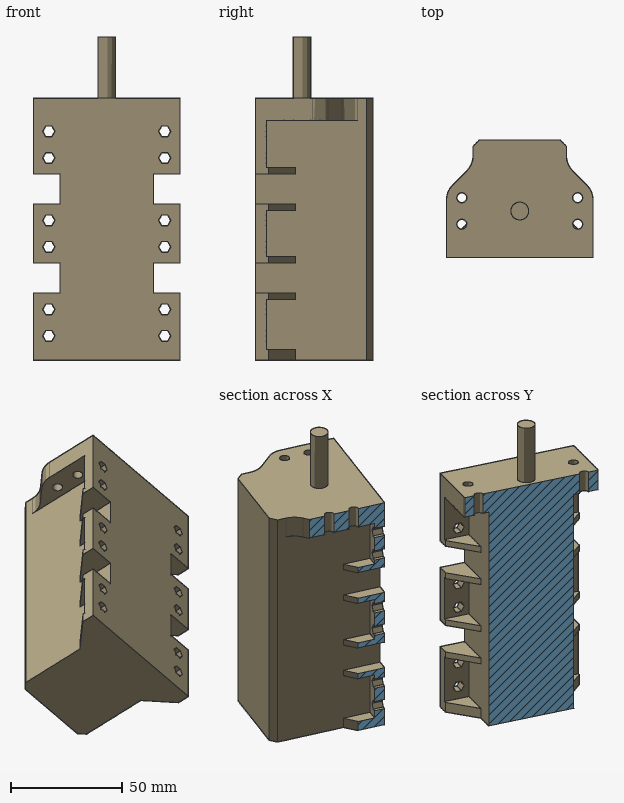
import cadquery as cq

total_height = 145.5
body_height = 118.0
body_width = 42.0
depth = 53.0
back_chamfer = 2.9

flange_width = 66.0
flange_thickness = 5.0
notch_height = 13.4
notch_bottom = 30.4
pitch = 40.0
notch_count = 2

gusset_thickness = 2.9
bottom_gusset_thickness = 5.0
gusset_edge = 6.0

plate_thickness = 10.0
shoulder_depth = 29.8
shoulder_radius = 9.9

hex_hole_corners = 5.4
plate_hole_diameter = 4.4
hole_offset = 26.0
hole_spacing = 12.0
lowest_hole = 11.0
first_plate_hole = 15.0

shaft_diameter = 8.0
shaft_depth = 21.0

body_side = body_width / 2
flange_side = flange_width / 2
overhang = flange_side - body_side
plate_bottom = body_height - plate_thickness
notch_bottoms = [notch_bottom + i * pitch for i in range(notch_count)]


def block(width, length, bottom, height):
    """Box centred on X that starts at the mounting face."""
    return cq.Workplane("XY", origin=(0, length / 2, bottom)).box(
        width, length, height, centered=(True, True, False)
    )


def make_gussets(bottom, thickness):
    """Pair of gussets, one on each side, tapering towards the back."""
    outline = [
        (-flange_side, 0),
        (flange_side, 0),
        (flange_side, gusset_edge),
        (body_side, gusset_edge + overhang),
        (-body_side, gusset_edge + overhang),
        (-flange_side, gusset_edge),
    ]
    return cq.Workplane("XY", origin=(0, 0, bottom)).polyline(outline).close().extrude(thickness)


def make_flanges():
    """Three flange strips per side, with gussets at their ends."""
    flanges = block(flange_width, flange_thickness, 0, body_height)
    flanges = flanges.union(make_gussets(0, bottom_gusset_thickness))
    for bottom in notch_bottoms:
        top = bottom + notch_height
        notch = block(flange_width, flange_thickness, bottom, notch_height)
        flanges = flanges.cut(notch)
        flanges = flanges.union(make_gussets(bottom - gusset_thickness, gusset_thickness))
        flanges = flanges.union(make_gussets(top, gusset_thickness))
    return flanges


def make_plate():
    """Plate that narrows to the body width through rounded shoulders."""
    narrow_depth = shoulder_depth + overhang
    outline = [
        (-flange_side, 0),
        (flange_side, 0),
        (flange_side, shoulder_depth),
        (body_side, narrow_depth),
        (body_side, depth),
        (-body_side, depth),
        (-body_side, narrow_depth),
        (-flange_side, shoulder_depth),
    ]
    plate = cq.Workplane("XY", origin=(0, 0, plate_bottom)).polyline(outline).close()
    plate = plate.extrude(plate_thickness)
    reach = shoulder_radius / 2
    shoulders = cq.selectors.BoxSelector(
        (-flange_width, shoulder_depth - reach, plate_bottom),
        (flange_width, narrow_depth + reach, body_height),
    )
    return plate.edges("|Z").edges(shoulders).fillet(shoulder_radius)


def make_shaft():
    return (
        cq.Workplane("XY", origin=(0, shaft_depth, body_height))
        .circle(shaft_diameter / 2)
        .extrude(total_height - body_height)
    )


def make_flange_holes():
    """Hexagonal cutters through the flanges: one pair per flange strip and side."""
    centres = [
        (side * hole_offset, lowest_hole + i * pitch + j * hole_spacing)
        for side in (-1, 1)
        for i in range(notch_count + 1)
        for j in range(2)
    ]
    return cq.Workplane("XZ").pushPoints(centres).polygon(6, hex_hole_corners).extrude(-flange_thickness)


def make_plate_holes():
    """Vertical cutters through the top plate only."""
    centres = [
        (side * hole_offset, first_plate_hole + j * hole_spacing)
        for side in (-1, 1)
        for j in range(2)
    ]
    plane = cq.Workplane("XY", origin=(0, 0, plate_bottom))
    return plane.pushPoints(centres).circle(plate_hole_diameter / 2).extrude(plate_thickness)


body = block(body_width, depth, 0, body_height).union(make_plate())
body = body.edges("|Z and >Y").chamfer(back_chamfer)

result = (
    body.union(make_flanges())
    .cut(make_flange_holes())
    .cut(make_plate_holes())
    .union(make_shaft())
)